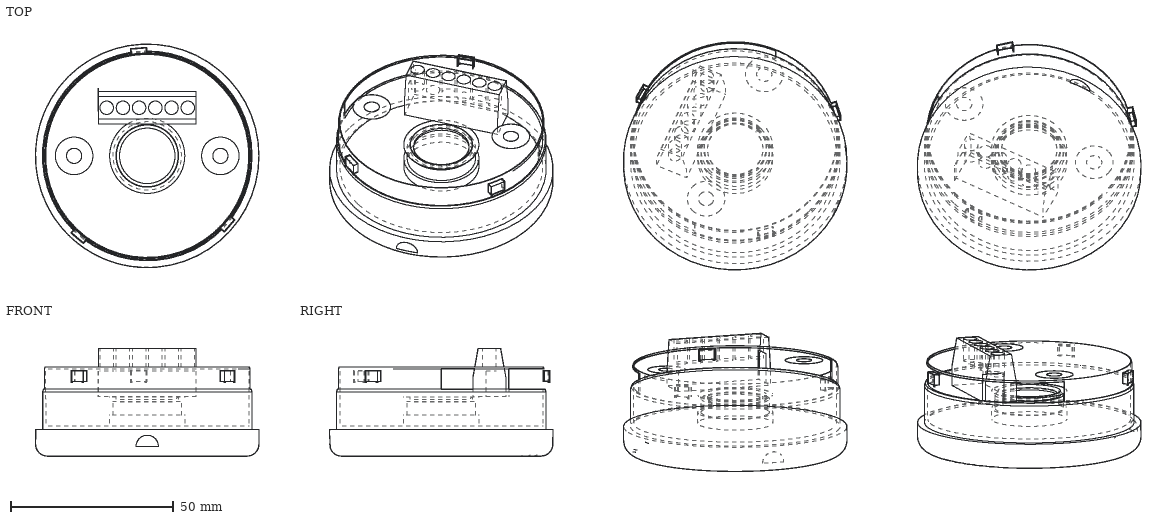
import cadquery as cq

FLANGE_RADIUS = 34.5
FLANGE_TOP = 8.3
BOTTOM_FILLET = 3.8
BODY_RADIUS = 32.35
BODY_TOP = 20.7
BODY_CHAMFER_HEIGHT = 0.8
BODY_CHAMFER_WIDTH = 0.3
INNER_RADIUS = 31.3
FLOOR_TOP = 9.3

COLLAR_RADIUS = 31.75
COLLAR_TOP = 27.6
RIM_HEIGHT = 0.6
RIM_BEVEL = 0.2

BOSS_RADIUS = 11.6
BOSS_TOP = 18.3
STEP_RADIUS = 10.55
STEP_BOTTOM = 12.7
BOSS_FLANGE_THICKNESS = 0.1
NECK_RADIUS = 9.65
NECK_BOTTOM = 17.0
RECESS_TOP_RADIUS = 9.5
RECESS_RADIUS = 8.55
RECESS_TAPER_DEPTH = 0.8
RECESS_DEPTH = 1.5

NOTCH_RADIUS = 3.45
NOTCH_CENTRE_Z = 3.05
NOTCH_DEPTH = 0.1
NOTCH_REACH = 3.45

TAB_WIDTH = 5.05
TAB_BACK = 31.7
TAB_FRONT = 33.4
TAB_BOTTOM = 23.1
TAB_TOP = 26.5
TAB_WALL = 0.2
PRONG_WIDTH = 0.5
PRONG_LENGTH = 0.4
LOOSE_TAB_ANGLE = 94.6
COLLAR_TAB_ANGLES = [LOOSE_TAB_ANGLE + 135, LOOSE_TAB_ANGLE + 225]

BLOCK_LENGTH = 30.2
BLOCK_CENTRE_Y = 14.85
BLOCK_WIDTH = 10.15
BLOCK_TOP_WIDTH = 7.05
BLOCK_BOTTOM = 18.4
BLOCK_SHOULDER = 24.5
BLOCK_TOP = 33.25
TERMINAL_COUNT = 6
TERMINAL_PITCH = 5.0
TERMINAL_DIAMETER = 4.15
TERMINAL_DEPTH = 6.9
PLATE_THICKNESS = 0.1
PLATE_FRONT_Y = 13.9
PLATE_BACK_Y = 20.85

WASHER_RADIUS = 5.8
WASHER_HOLE_RADIUS = 2.35
WASHER_OFFSET = 22.55
WASHER_THICKNESS = 0.1


def make_flange(shift):
    """Round flange with a rounded lower edge, shifted along +Y by the given distance."""
    return (
        cq.Workplane("XY")
        .circle(FLANGE_RADIUS)
        .extrude(FLANGE_TOP)
        .faces("<Z").edges().fillet(BOTTOM_FILLET)
        .translate((0, shift, 0))
    )


def make_cup():
    """Round cup with a wide, rounded flange and a bevelled upper edge."""
    body = (
        cq.Workplane("XY", origin=(0, 0, FLANGE_TOP))
        .circle(BODY_RADIUS)
        .extrude(BODY_TOP - FLANGE_TOP)
        .faces(">Z").edges().chamfer(BODY_CHAMFER_HEIGHT, BODY_CHAMFER_WIDTH)
    )
    cavity = cq.Workplane("XY", origin=(0, 0, FLOOR_TOP)).circle(INNER_RADIUS).extrude(BODY_TOP - FLOOR_TOP)
    return make_flange(0).union(body).cut(cavity)


def make_collar():
    """Half-circle wall on the -Y side under a complete bevelled rim."""
    height = COLLAR_TOP - BODY_TOP
    ring = (
        cq.Workplane("XY", origin=(0, 0, BODY_TOP))
        .circle(COLLAR_RADIUS)
        .extrude(height)
        .faces(">Z").edges().chamfer(RIM_HEIGHT, RIM_BEVEL)
        .cut(cq.Workplane("XY", origin=(0, 0, BODY_TOP)).circle(INNER_RADIUS).extrude(height))
    )
    opening = (
        cq.Workplane("XY", origin=(0, 0, BODY_TOP))
        .rect(2 * FLANGE_RADIUS, FLANGE_RADIUS)
        .extrude(height - RIM_HEIGHT)
        .translate((0, FLANGE_RADIUS / 2, 0))
    )
    return ring.cut(opening)


def make_boss():
    """Stepped round boss with a thin top flange and a tapered recess."""
    return (
        cq.Workplane("XZ")
        .moveTo(0, FLOOR_TOP)
        .lineTo(BOSS_RADIUS, FLOOR_TOP)
        .lineTo(BOSS_RADIUS, STEP_BOTTOM)
        .lineTo(STEP_RADIUS, STEP_BOTTOM)
        .lineTo(STEP_RADIUS, NECK_BOTTOM)
        .lineTo(NECK_RADIUS, NECK_BOTTOM)
        .lineTo(NECK_RADIUS, BOSS_TOP - BOSS_FLANGE_THICKNESS)
        .lineTo(BOSS_RADIUS, BOSS_TOP - BOSS_FLANGE_THICKNESS)
        .lineTo(BOSS_RADIUS, BOSS_TOP)
        .lineTo(RECESS_TOP_RADIUS, BOSS_TOP)
        .lineTo(RECESS_RADIUS, BOSS_TOP - RECESS_TAPER_DEPTH)
        .lineTo(RECESS_RADIUS, BOSS_TOP - RECESS_DEPTH)
        .lineTo(0, BOSS_TOP - RECESS_DEPTH)
        .close()
        .revolve(360, (0, 0), (0, 1))
    )


def make_notch_cutter():
    """Half disc that follows the flange surface at a small, even depth."""
    half_disc = (
        cq.Workplane("XZ", origin=(0, NOTCH_REACH - FLANGE_RADIUS, 0))
        .moveTo(-NOTCH_RADIUS, NOTCH_CENTRE_Z)
        .lineTo(NOTCH_RADIUS, NOTCH_CENTRE_Z)
        .threePointArc((0, NOTCH_CENTRE_Z + NOTCH_RADIUS), (-NOTCH_RADIUS, NOTCH_CENTRE_Z))
        .close()
        .extrude(NOTCH_REACH)
    )
    return half_disc.cut(make_flange(NOTCH_DEPTH))


def make_tab(angle):
    """Thin hood, open below and towards the axis, with two prongs under its front wall."""
    depth = TAB_FRONT - TAB_BACK
    height = TAB_TOP - TAB_BOTTOM
    hood = cq.Workplane("XY").box(depth, TAB_WIDTH, height, centered=(False, True, False))
    hollow = cq.Workplane("XY").box(
        depth - TAB_WALL, TAB_WIDTH - 2 * TAB_WALL, height - TAB_WALL, centered=(False, True, False)
    )
    tab = hood.cut(hollow)
    for side in (-1, 1):
        prong = cq.Workplane("XY").box(
            TAB_WALL, PRONG_WIDTH, PRONG_LENGTH + TAB_WALL, centered=(False, True, False)
        )
        prong_y = side * (TAB_WIDTH - PRONG_WIDTH) / 2
        tab = tab.union(prong.translate((depth - TAB_WALL, prong_y, -PRONG_LENGTH)))
    return tab.translate((TAB_BACK, 0, TAB_BOTTOM)).rotate((0, 0, 0), (0, 0, 1), angle)


def make_housing():
    """Cup, boss, collar and the two tabs on the collar wall."""
    housing = make_cup().union(make_boss()).union(make_collar()).cut(make_notch_cutter())
    for angle in COLLAR_TAB_ANGLES:
        housing = housing.union(make_tab(angle))
    return housing


def make_loose_tab():
    """Tab on the open side of the collar, kept clear of the rim above it."""
    return make_tab(LOOSE_TAB_ANGLE)


def make_terminal_block():
    """Block with a tapered top, a row of terminal holes and a thin plate on its -X end."""
    half_width = BLOCK_WIDTH / 2
    half_top = BLOCK_TOP_WIDTH / 2
    block = (
        cq.Workplane("YZ", origin=(-BLOCK_LENGTH / 2, BLOCK_CENTRE_Y, 0))
        .moveTo(-half_width, BLOCK_BOTTOM)
        .lineTo(half_width, BLOCK_BOTTOM)
        .lineTo(half_width, BLOCK_SHOULDER)
        .lineTo(half_top, BLOCK_TOP)
        .lineTo(-half_top, BLOCK_TOP)
        .lineTo(-half_width, BLOCK_SHOULDER)
        .close()
        .extrude(BLOCK_LENGTH)
    )
    holes = (
        cq.Workplane("XY", origin=(0, BLOCK_CENTRE_Y, BLOCK_TOP))
        .rarray(TERMINAL_PITCH, 0.7, TERMINAL_COUNT, 1)
        .circle(TERMINAL_DIAMETER / 2)
        .extrude(-TERMINAL_DEPTH)
    )
    plate = (
        cq.Workplane("XY")
        .box(PLATE_THICKNESS, PLATE_BACK_Y - PLATE_FRONT_Y, COLLAR_TOP - BLOCK_BOTTOM, centered=False)
        .translate((-BLOCK_LENGTH / 2 - PLATE_THICKNESS, PLATE_FRONT_Y, BLOCK_BOTTOM))
    )
    return block.cut(holes).union(plate)


def make_washer(x):
    """Thin flat washer level with the collar rim."""
    return (
        cq.Workplane("XY", origin=(x, 0, COLLAR_TOP - WASHER_THICKNESS))
        .circle(WASHER_RADIUS)
        .circle(WASHER_HOLE_RADIUS)
        .extrude(WASHER_THICKNESS)
    )


housing = make_housing()
terminal_block = make_terminal_block()
loose_tab = make_loose_tab()
washers = [make_washer(side * WASHER_OFFSET).val() for side in (-1, 1)]

result = cq.Compound.makeCompound([housing.val(), terminal_block.val(), loose_tab.val(), *washers])